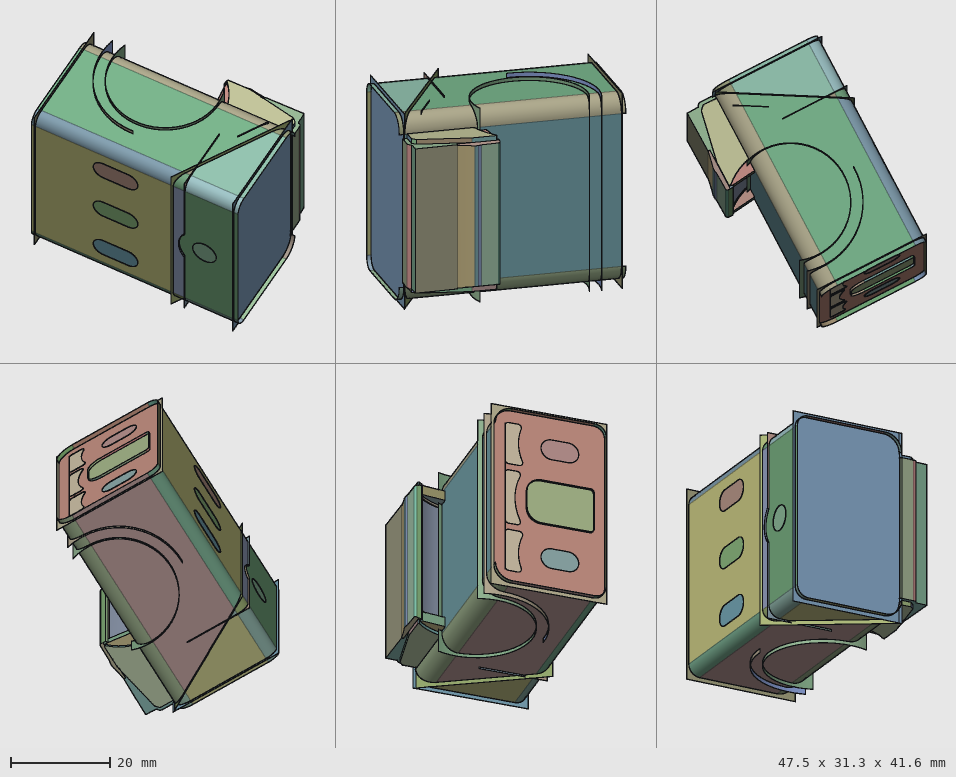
import cadquery as cq
import math

LENGTH = 47.5
DEPTH = 23.75
HEIGHT = 39.8
BACK_RADIUS = 3.6
FRONT_RADIUS = 2.45
BACK = DEPTH / 2
FRONT = -DEPTH / 2
TOP = HEIGHT / 2

SHEET = 0.05
SHEET_RISE = 0.9
FRONT_RISE = 0.47
SHEET_TOP = TOP + SHEET_RISE
SHEET_FRONT = FRONT - FRONT_RISE

FRAME_X = 22.8
FRAME_BACK = BACK + 0.55
RIM = 0.05

BAND_X = -4.35
BAND_Y = 8.85
INNER_BAND_RADIUS = 12.1
INNER_BAND_TOP = SHEET_TOP - 0.15
INNER_BAND_BACK = BACK + 0.9
OUTER_BAND_RADIUS = 14.6
OUTER_BAND_END = BAND_X + 0.55

SLOPE = 60.0
SLOPE_START_X = 8.6
RIB_START = (15.05, 3.7)
RIB_LENGTH = 7.2
RIB_RISE = 0.25
UPRIGHT_X = 11.6
UPRIGHT_BACK = 2.37
UPRIGHT_RISE = 0.4
BULGE_RADIUS = 5.75

FACE_STEP = 0.1
FRONT_PAD_LENGTH = 10.25
PAD_WIDTH = 4.55
PAD_PITCH = 12.6
DISC_X = 16.0
DISC_DIAMETER = 5.4

END_PAD_LENGTH = 8.05
END_PAD_Y = -2.3
WINDOW_BACK = 4.95
WINDOW_FRONT = -9.5
WINDOW_WIDTH = 9.95
WINDOW_BACK_RADIUS = 3.1
WINDOW_FRONT_RADIUS = 0.8
WINDOW_RISE = 0.47
KIDNEY_BACK = 9.45
KIDNEY_RADIUS = 0.75
KIDNEY_RIB_LENGTH = 33.7

ROCKER_FOOT_X = 5.5
ROCKER_LEFT = 4.5
ROCKER_RIGHT = 23.05
ROCKER_CORNER_Y = 18.75
ROCKER_KNEE = (4.9, 17.0)
ROCKER_TOP = 16.4
CAP_TOP = 15.4
STEP_TOP = 15.65
ROCKER_BACK = BACK + 7.1
SCOOP_RADIUS = 12.8
SCOOP_HALF_HEIGHT = 12.95
SCOOP_BACK = 17.0
SCOOP_RIM_STEP = 0.2
SCOOP_RIM_HALF_HEIGHT = 13.55
CAP_ROUND = 0.47
CHEEK_BACK = 17.9
CHEEK_RIGHT = 22.1
BEVEL_DROP = 0.4
BEVEL_END_X = 13.4


def box(x_range, y_range, z_range):
    """Box between two limits along each axis."""
    sizes = [high - low for low, high in (x_range, y_range, z_range)]
    corner = (x_range[0], y_range[0], z_range[0])
    return cq.Workplane("XY").box(*sizes, centered=False).translate(corner)


def rounded_block(length, inset=0.0):
    """Block with the housing's rounded section, pulled in by `inset` all round."""
    block = cq.Workplane("XY").box(length, DEPTH - 2 * inset, HEIGHT - 2 * inset)
    block = block.edges("|X and >Y").fillet(BACK_RADIUS - inset)
    return block.edges("|X and <Y").fillet(FRONT_RADIUS - inset)


def upright_cylinder(x, y, radius, half_height):
    """Cylinder along Z, centred on Z = 0."""
    return cq.Workplane("XY").center(x, y).circle(radius).extrude(half_height, both=True)


def tube(x, y, radius, half_height):
    """Thin round wall along Z whose middle lies at `radius`."""
    outer = upright_cylinder(x, y, radius + SHEET / 2, half_height)
    return outer.cut(upright_cylinder(x, y, radius - SHEET / 2, half_height))


def sloping_sheet(start, length, z_range):
    """Thin sheet along Z that runs from `start` at the slope angle."""
    sheet = box((0, length), (-SHEET / 2, SHEET / 2), z_range)
    return sheet.rotate((0, 0, 0), (0, 0, 1), SLOPE).translate((*start, 0))


def end_recess(side):
    """Recess that leaves a thin rim on one end, open along the flat of the back face."""
    rim_depth = LENGTH / 2 - FRAME_X
    middle = side * (FRAME_X + rim_depth / 2)
    recess = rounded_block(rim_depth, RIM).translate((middle, 0, 0))
    flat_half_height = TOP - BACK_RADIUS
    x_range = sorted((side * FRAME_X, side * LENGTH / 2))
    back_gap = box(x_range, (BACK - RIM, BACK), (-flat_half_height, flat_half_height))
    return recess.union(back_gap)


def front_pads():
    """Three oblong pads on the front face."""
    points = [(BAND_X, row * PAD_PITCH) for row in (-1, 0, 1)]
    face = cq.Workplane("XZ", origin=(0, FRONT, 0)).pushPoints(points)
    return face.slot2D(FRONT_PAD_LENGTH, PAD_WIDTH).extrude(FACE_STEP)


def front_disc():
    """Shallow round recess of the front face."""
    face = cq.Workplane("XZ", origin=(0, FRONT, 0)).center(DISC_X, 0)
    return face.circle(DISC_DIAMETER / 2).extrude(-FACE_STEP)


def end_face():
    """Sketch plane on the left recess floor: local x is +Y, local y is +Z, normal is +X."""
    return cq.Workplane("YZ", origin=(-FRAME_X, 0, 0))


def end_pads():
    """Two oblong pads on the left end."""
    points = [(END_PAD_Y, -PAD_PITCH), (END_PAD_Y, PAD_PITCH)]
    return end_face().pushPoints(points).slot2D(END_PAD_LENGTH, PAD_WIDTH).extrude(-FACE_STEP)


def window_block(inset):
    """Rounded block with the outline of the end window, pulled in by `inset`."""
    length = WINDOW_BACK - WINDOW_FRONT - 2 * inset
    middle = (WINDOW_BACK + WINDOW_FRONT) / 2
    block = end_face().center(middle, 0).rect(length, WINDOW_WIDTH - 2 * inset).extrude(-WINDOW_RISE)
    block = block.edges("|X and >Y").fillet(WINDOW_BACK_RADIUS - inset)
    return block.edges("|X and <Y").fillet(WINDOW_FRONT_RADIUS - inset)


def window_rim():
    """Thin raised rim of the end window."""
    return window_block(0).cut(window_block(RIM))


def kidney(low, waist, high):
    """Pad with a straight back edge and a hollow front edge through three (y, z) points."""
    outline = end_face().moveTo(KIDNEY_BACK, low[1]).lineTo(*low).threePointArc(waist, high)
    pad = outline.lineTo(KIDNEY_BACK, high[1]).close().extrude(-FACE_STEP)
    return pad.edges("|X").fillet(KIDNEY_RADIUS)


def kidneys():
    """Three kidney pads and the thin rib along their back edges."""
    outer = kidney((5.2, 7.6), (6.6, 12.35), (5.6, 17.1))
    middle = kidney((5.7, -6.15), (7.35, 0.0), (5.7, 6.15))
    half = KIDNEY_RIB_LENGTH / 2
    rib = box((-FRAME_X - FACE_STEP, -FRAME_X), (KIDNEY_BACK - SHEET, KIDNEY_BACK), (-half, half))
    return outer.union(outer.mirror("XY")).union(middle).union(rib)


def upright_sheet():
    """Upright sheet with a round bulge about the front disc."""
    half_height = TOP + UPRIGHT_RISE
    x_range = (UPRIGHT_X - SHEET / 2, UPRIGHT_X + SHEET / 2)
    y_range = (FRONT - UPRIGHT_RISE, UPRIGHT_BACK)
    half_bulge = math.sqrt(BULGE_RADIUS**2 - (DISC_X - UPRIGHT_X) ** 2)
    sheet = box(x_range, y_range, (-half_height, half_height))
    sheet = sheet.cut(box(x_range, y_range, (-half_bulge, half_bulge)))
    face = cq.Workplane("XZ", origin=(DISC_X, FRONT, 0))
    ring = face.circle(BULGE_RADIUS + SHEET / 2).circle(BULGE_RADIUS - SHEET / 2).extrude(UPRIGHT_RISE)
    bulge_limit = box((0, UPRIGHT_X + SHEET / 2), (SHEET_FRONT, FRONT), (-TOP, TOP))
    return sheet.union(ring.intersect(bulge_limit))


def housing_fins():
    """Sloping sheet, short rib and upright sheet, all standing out of the block."""
    slope_length = (BACK - SHEET_FRONT) / math.sin(math.radians(SLOPE))
    start = (SLOPE_START_X, SHEET_FRONT)
    sloping = sloping_sheet(start, slope_length, (-SHEET_TOP, SHEET_TOP))
    sloping = sloping.intersect(box((0, FRAME_X), (SHEET_FRONT, BACK), (-SHEET_TOP, SHEET_TOP)))
    short_rib = sloping_sheet(RIB_START, RIB_LENGTH, (0, TOP + RIB_RISE))
    return sloping.union(short_rib).union(upright_sheet())


def make_housing():
    body = rounded_block(LENGTH)
    for side in (-1, 1):
        body = body.cut(end_recess(side))
    body = body.union(front_pads()).cut(front_disc())
    body = body.union(end_pads()).union(window_rim()).union(kidneys())
    return body.union(housing_fins())


def make_frame(side):
    """Thin rectangular frame around one end of the housing."""
    x_range = (side * FRAME_X - SHEET / 2, side * FRAME_X + SHEET / 2)
    plate = box(x_range, (SHEET_FRONT, FRAME_BACK), (-SHEET_TOP, SHEET_TOP))
    return plate.cut(rounded_block(LENGTH))


def make_inner_band():
    """Band over the top, back and underside of the housing, open at the back."""
    wall = tube(BAND_X, BAND_Y, INNER_BAND_RADIUS, INNER_BAND_TOP)
    limits = (-LENGTH, LENGTH), (FRONT, INNER_BAND_BACK), (-SHEET_TOP, SHEET_TOP)
    return wall.intersect(box(*limits)).cut(rounded_block(LENGTH))


def make_outer_band():
    """Larger band around the left side only."""
    wall = tube(BAND_X, BAND_Y, OUTER_BAND_RADIUS, SHEET_TOP)
    limits = (-LENGTH, OUTER_BAND_END), (FRONT, FRAME_BACK), (-SHEET_TOP, SHEET_TOP)
    return wall.intersect(box(*limits)).cut(rounded_block(LENGTH))


def rocker_cap():
    """Full plan outline of the rocker, up to the lower cap height."""
    outline = (
        cq.Workplane("XY")
        .moveTo(ROCKER_FOOT_X, BACK)
        .lineTo(*ROCKER_KNEE)
        .lineTo(ROCKER_LEFT, 17.3)
        .lineTo(ROCKER_LEFT, ROCKER_CORNER_Y)
        .lineTo(8.5, 18.85)
        .lineTo(9.25, ROCKER_BACK)
        .lineTo(9.95, ROCKER_BACK)
        .threePointArc((11.7, 18.6), (BEVEL_END_X, 18.35))
        .lineTo(22.2, 18.45)
        .lineTo(22.3, 15.9)
        .threePointArc((22.85, 15.55), (ROCKER_RIGHT, 14.95))
        .lineTo(ROCKER_RIGHT, BACK)
        .close()
    )
    cap = outline.extrude(CAP_TOP, both=True)
    corner = cq.selectors.NearestToPointSelector((ROCKER_LEFT, ROCKER_CORNER_Y, 0))
    cap = cap.edges("|Z").edges(corner).fillet(CAP_ROUND)
    bevel = cap_bevel()
    return cap.cut(bevel).cut(bevel.mirror("XY"))


def cap_bevel():
    """Wedge that bevels the upper back edge of the cap, on its left part."""
    points = [(CHEEK_BACK, CAP_TOP), (ROCKER_BACK, CAP_TOP), (ROCKER_BACK, CAP_TOP - BEVEL_DROP)]
    return cq.Workplane("YZ").polyline(points).close().extrude(BEVEL_END_X)


def rocker_cheeks():
    """Taller part of the rocker, below the sloping edge of the cap."""
    points = [
        (ROCKER_FOOT_X, BACK),
        ROCKER_KNEE,
        (5.05, CHEEK_BACK),
        (10.2, CHEEK_BACK),
        (21.25, 15.75),
        (CHEEK_RIGHT, 14.95),
        (CHEEK_RIGHT, BACK),
    ]
    return cq.Workplane("XY").polyline(points).close().extrude(ROCKER_TOP, both=True)


def scoop(radius, y_end, z_range):
    """Round hollow of the rocker, about the axis of the bands, from the housing to `y_end`."""
    limits = (-LENGTH, LENGTH), (BACK, y_end), z_range
    return upright_cylinder(BAND_X, BAND_Y, radius, ROCKER_TOP).intersect(box(*limits))


def make_rocker(right_frame):
    """Rocker with a hollow left side and a slit where the right frame passes."""
    body = rocker_cheeks()
    for z_range in ((STEP_TOP, ROCKER_TOP), (-ROCKER_TOP, -STEP_TOP)):
        body = body.cut(scoop(SCOOP_RADIUS, ROCKER_BACK, z_range))
    body = body.union(rocker_cap())
    rim_radius = SCOOP_RADIUS - SCOOP_RIM_STEP
    hollows = ((SCOOP_RADIUS, SCOOP_HALF_HEIGHT), (rim_radius, SCOOP_RIM_HALF_HEIGHT))
    for radius, half_height in hollows:
        body = body.cut(scoop(radius, SCOOP_BACK, (-half_height, half_height)))
    return body.cut(make_inner_band()).cut(right_frame)


housing = make_housing()
frames = [make_frame(side) for side in (-1, 1)]
inner_band = make_inner_band()
outer_band = make_outer_band()
rocker = make_rocker(frames[1])

bodies = [housing, *frames, inner_band, outer_band, rocker]
result = cq.Compound.makeCompound([body.solids().val() for body in bodies])